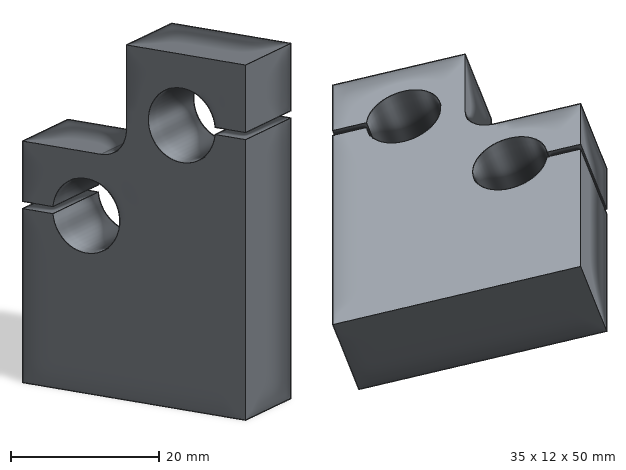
import cadquery as cq

width = 35.0
thickness = 12.0
height = 50.0

step_width = 16.3
step_height = 34.0
step_fillet = 4.0

bore_diameter = 10.5
bore_inset = 10.0
lower_bore_height = 25.0
upper_bore_height = 40.0
slit_width = 1.0


def stepped_block():
    """L-shaped plate with a rounded inner corner at the step."""
    profile = (
        cq.Workplane("XZ")
        .moveTo(0, 0)
        .lineTo(width, 0)
        .lineTo(width, height)
        .lineTo(step_width, height)
        .lineTo(step_width, step_height + step_fillet)
        .radiusArc((step_width - step_fillet, step_height), step_fillet)
        .lineTo(0, step_height)
        .close()
    )
    return profile.extrude(-thickness)


def clamp_opening(bore_x, bore_z, side_x):
    """Through bore joined to the block side at side_x by a slit."""
    bore = (
        cq.Workplane("XZ")
        .center(bore_x, bore_z)
        .circle(bore_diameter / 2)
        .extrude(-thickness)
    )
    slit = (
        cq.Workplane("XZ")
        .center((bore_x + side_x) / 2, bore_z)
        .rect(abs(side_x - bore_x), slit_width)
        .extrude(-thickness)
    )
    return bore.union(slit)


result = (
    stepped_block()
    .cut(clamp_opening(bore_inset, lower_bore_height, 0))
    .cut(clamp_opening(width - bore_inset, upper_bore_height, width))
)